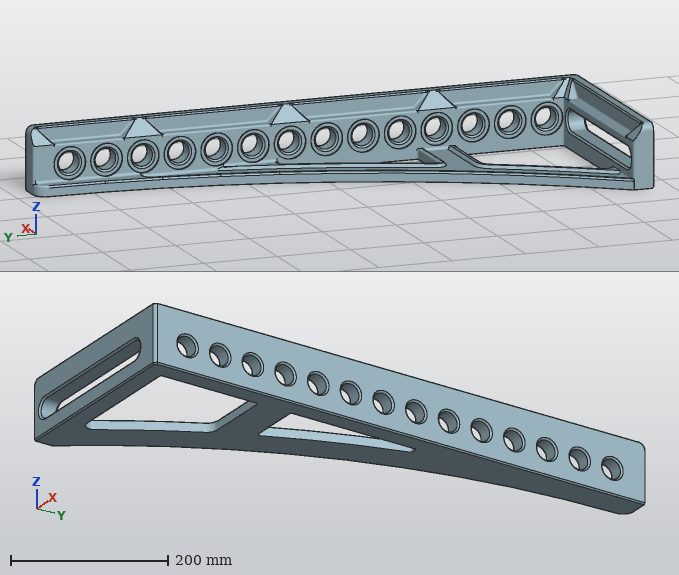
import cadquery as cq
import math

LENGTH_X = 276.0
LENGTH_Y = 750.0
HEIGHT = 85.0

WALL = 27.0
LIP = 13.0
LIP_CHAMFER = 2.0
LEDGE_Z = 63.5
LEDGE_EDGE_RADIUS = 2.5
POCKET_RADIUS = 3.0
TOP_END_RADIUS = 10.0
LONG_END_RADIUS = 3.0
SHORT_END_RADIUS = 4.5
INNER_CORNER_RADIUS = 3.0
OUTER_CORNER_CHAMFER = 4.0
BOTTOM_CHAMFER = 2.0

INNER_X = LENGTH_X - WALL
INNER_Y = WALL

RIB_PITCH = 200.0
RIB_COUNT = 3
RIB_HALF_FLOOR = 26.0
LONG_POCKET_END = 721.5
SHORT_POCKET_END = 29.5
CORNER_POCKET_START = 41.0

HOLE_DIAMETER = 28.0
HOLE_PITCH = 50.0
HOLE_COUNT = 14
HOLE_Z = 37.3
HOLE_CHAMFER = 2.5
SPOTFACE_DIAMETER = 43.0
SPOTFACE_DEPTH = 2.0
SLOT_START_X = 25.5
SLOT_END_X = 227.0
SLOT_CHAMFER = 2.5

WEB_TOP = 14.0
WEB_FLOOR = 10.0
WEB_EDGE_RADIUS = 2.5
RIM = 6.0
RECESS_TOP_Y = 604.0
RECESS_TOP_RADIUS = 12.0
ARC_RADIUS = 1200.0
ARC_CENTER_Y = 738.0
ARC_CENTER_X = -math.sqrt(ARC_RADIUS**2 - (ARC_CENTER_Y - INNER_Y) ** 2)
BRACE_WIDTH = 46.5
INNER_ARC_RADIUS = ARC_RADIUS + BRACE_WIDTH
RECESS_INNER_RADIUS = INNER_ARC_RADIUS - RIM
WEB_END_RADIUS = 16.0
CROSSBAR_Y = 201.0
CROSSBAR_WIDTH = 50.0
BAR_LOW = CROSSBAR_Y - CROSSBAR_WIDTH / 2
BAR_HIGH = CROSSBAR_Y + CROSSBAR_WIDTH / 2
THROAT_Y = 418.0
ACUTE_WINDOW_RADIUS = 12.0
LOWER_BAR_RADIUS = 16.0
UPPER_BAR_RADIUS = 4.0
WINDOW_WALL_RADIUS = 3.0
COVE_RADIUS = 4.0

OVERLAP = 6.0


def arc_x(radius, y):
    """X at a given Y on an arc concentric with the outer edge of the brace."""
    return ARC_CENTER_X + math.sqrt(radius**2 - (y - ARC_CENTER_Y) ** 2)


def arc_y(radius, x):
    """Y at a given X on the same arc."""
    return ARC_CENTER_Y - math.sqrt(radius**2 - (x - ARC_CENTER_X) ** 2)


def near(x, y):
    """Selector for the upright edge closest to a point in plan."""
    return cq.selectors.NearestToPointSelector((x, y, WEB_TOP / 2))


def arc_point(radius, y):
    return (arc_x(radius, y), y)


def brace_arc(sketch, radius, y_from, y_to):
    """Continue an outline along an arc concentric with the outer edge of the brace."""
    middle = arc_point(radius, (y_from + y_to) / 2)
    return sketch.threePointArc(middle, arc_point(radius, y_to))



def wall_blank(length, end_radius):
    """Plain wall with a rounded far end and its upper inner side leaning back to the lip."""
    blank = cq.Workplane("XY").box(WALL, length, HEIGHT, centered=False)
    blank = blank.edges(">X and >Y").fillet(end_radius)
    blank = blank.edges(">Y and >Z").fillet(TOP_END_RADIUS)
    lean = [(WALL, LEDGE_Z), (WALL, HEIGHT), (LIP, HEIGHT)]
    return blank.cut(cq.Workplane("XZ").polyline(lean).close().extrude(-length))


def wall_pocket(start, end):
    """Pocket above the ledge, with 45 degree ends, a filleted root and a bevelled lip edge."""
    rise = HEIGHT - LEDGE_Z
    side = [(start, LEDGE_Z), (end, LEDGE_Z), (end + rise, HEIGHT), (start - rise, HEIGHT)]
    pocket = cq.Workplane("YZ").polyline(side).close().extrude(2 * WALL).translate((LIP, 0, 0))
    pocket = pocket.faces("<Z or <X").edges("not >Z").edges("not >X").fillet(POCKET_RADIUS)
    bevel_side = [(LIP - LIP_CHAMFER, HEIGHT), (LIP, HEIGHT), (LIP, HEIGHT - LIP_CHAMFER)]
    bevel = cq.Workplane("XZ").polyline(bevel_side).close().extrude(start - rise - end - rise)
    return pocket.union(bevel.translate((0, start - rise, 0)))


def ledge_rounding(start, end):
    """Cutter that rounds the outer edge of the ledge along a pocket."""
    radius = LEDGE_EDGE_RADIUS
    block = cq.Workplane("XZ").rect(radius, radius, centered=False).extrude(start - end)
    block = block.cut(cq.Workplane("XZ").circle(radius).extrude(start - end))
    return block.translate((WALL - radius, start, LEDGE_Z - radius))


def make_wall(length, end_radius, pockets):
    """Wall with pockets, each given by the start and end of its floor."""
    wall = wall_blank(length, end_radius)
    for start, end in pockets:
        wall = wall.cut(wall_pocket(start, end))
        wall = wall.cut(ledge_rounding(start, end))
    return wall


def long_wall_pockets():
    ribs = [RIB_PITCH * (i + 1) for i in range(RIB_COUNT)]
    starts = [CORNER_POCKET_START] + [rib + RIB_HALF_FLOOR for rib in ribs]
    ends = [rib - RIB_HALF_FLOOR for rib in ribs] + [LONG_POCKET_END]
    return list(zip(starts, ends))


def make_walls():
    long_wall = make_wall(LENGTH_Y, LONG_END_RADIUS, long_wall_pockets())
    long_wall = long_wall.mirror("YZ").translate((LENGTH_X, 0, 0))
    short_pocket = (CORNER_POCKET_START, LENGTH_X - SHORT_POCKET_END)
    short_wall = make_wall(LENGTH_X, SHORT_END_RADIUS, [short_pocket])
    short_wall = short_wall.rotate((0, 0, 0), (0, 0, 1), 90).translate((LENGTH_X, 0, 0))
    walls = long_wall.union(short_wall)
    return walls.union(inner_corner_fillet())


def inner_corner_fillet():
    """Concave fillet where the inner faces of the two walls meet."""
    radius = INNER_CORNER_RADIUS
    block = cq.Workplane("XY").rect(radius, -radius, centered=False).extrude(LEDGE_Z)
    block = block.cut(cq.Workplane("XY").circle(radius).extrude(LEDGE_Z))
    return block.translate((INNER_X - radius, INNER_Y + radius, 0))



def web_outline():
    """Outline of the web: brace arc outside, reaching into both walls."""
    sketch = cq.Workplane("XY").moveTo(LENGTH_X - OVERLAP, INNER_Y - OVERLAP)
    sketch = sketch.lineTo(LENGTH_X - OVERLAP, LENGTH_Y).lineTo(*arc_point(ARC_RADIUS, LENGTH_Y))
    sketch = brace_arc(sketch, ARC_RADIUS, LENGTH_Y, INNER_Y)
    return sketch.lineTo(SHORT_END_RADIUS, INNER_Y - OVERLAP).close()


def lower_window():
    """Window between the short wall and the crossbar."""
    radius = INNER_ARC_RADIUS
    top = BAR_LOW
    sketch = cq.Workplane("XY").moveTo(*arc_point(radius, top)).lineTo(INNER_X, top)
    sketch = sketch.lineTo(INNER_X, INNER_Y).lineTo(*arc_point(radius, INNER_Y))
    window = brace_arc(sketch, radius, INNER_Y, top).close().extrude(WEB_TOP)
    window = window.edges("|Z and >X").fillet(WINDOW_WALL_RADIUS)
    window = window.edges("|Z").edges(near(*arc_point(radius, INNER_Y))).fillet(ACUTE_WINDOW_RADIUS)
    return window.edges("|Z").edges(near(*arc_point(radius, top))).fillet(LOWER_BAR_RADIUS)


def upper_window():
    """Narrow window above the crossbar, between the brace and the long wall."""
    radius = INNER_ARC_RADIUS
    bottom = BAR_HIGH
    sketch = cq.Workplane("XY").moveTo(*arc_point(radius, THROAT_Y)).lineTo(INNER_X, THROAT_Y)
    sketch = sketch.lineTo(INNER_X, bottom).lineTo(*arc_point(radius, bottom))
    window = brace_arc(sketch, radius, bottom, THROAT_Y).close().extrude(WEB_TOP)
    window = window.edges("|Z and >Y").fillet(WINDOW_WALL_RADIUS)
    window = window.edges("|Z").edges(near(INNER_X, bottom)).fillet(WINDOW_WALL_RADIUS)
    return window.edges("|Z").edges(near(*arc_point(radius, bottom))).fillet(UPPER_BAR_RADIUS)


def web_recess():
    """Recess inside the rims: down the brace and across the crossbar, with 45 degree sides."""
    outer = ARC_RADIUS + RIM
    inner = RECESS_INNER_RADIUS
    right = INNER_X + OVERLAP
    bottom = INNER_Y - OVERLAP
    bar_low = BAR_LOW + RIM
    bar_high = BAR_HIGH - RIM
    sketch = cq.Workplane("XY").moveTo(*arc_point(outer, bottom))
    sketch = brace_arc(sketch, outer, bottom, RECESS_TOP_Y)
    sketch = sketch.lineTo(right, RECESS_TOP_Y).lineTo(right, arc_y(inner, right))
    sketch = brace_arc(sketch, inner, arc_y(inner, right), bar_high)
    sketch = sketch.lineTo(right, bar_high).lineTo(right, bar_low).lineTo(*arc_point(inner, bar_low))
    sketch = brace_arc(sketch, inner, bar_low, bottom).close()
    depth = WEB_TOP - WEB_FLOOR
    recess = sketch.extrude(WEB_TOP).translate((0, 0, WEB_FLOOR))
    corners = [
        (arc_point(outer, RECESS_TOP_Y), RECESS_TOP_RADIUS),
        (arc_point(inner, bar_high), UPPER_BAR_RADIUS + RIM),
        (arc_point(inner, bar_low), LOWER_BAR_RADIUS + RIM),
    ]
    for corner, radius in corners:
        recess = recess.edges("|Z").edges(near(*corner)).fillet(radius)
    return recess.faces("<Z").chamfer(depth)


def wall_cove(start, end, z):
    """Concave cove along +Y against the plane X = 0, its foot reaching toward -X at height z."""
    corner = cq.Workplane("XZ").rect(-COVE_RADIUS, COVE_RADIUS, centered=False)
    block = corner.extrude(start - end)
    hollow = cq.Workplane("XZ").center(-COVE_RADIUS, COVE_RADIUS).circle(COVE_RADIUS).extrude(start - end)
    return block.cut(hollow).translate((0, start, z))


def make_coves():
    """Coves where the web meets the walls, at recess floor level and at rim level."""
    throat_end = arc_y(RECESS_INNER_RADIUS, INNER_X)
    along_long_wall = [
        wall_cove(BAR_LOW + RIM, BAR_HIGH - RIM, WEB_FLOOR),
        wall_cove(THROAT_Y, throat_end, WEB_TOP),
        wall_cove(throat_end, RECESS_TOP_Y, WEB_FLOOR),
        wall_cove(RECESS_TOP_Y, LENGTH_Y - LONG_END_RADIUS, WEB_TOP),
    ]
    short_start = LENGTH_X - arc_x(RECESS_INNER_RADIUS, INNER_Y)
    short_end = LENGTH_X - arc_x(ARC_RADIUS + RIM, INNER_Y)
    coves = wall_cove(short_start, short_end, WEB_FLOOR).mirror("YZ")
    coves = coves.translate((INNER_Y, 0, 0)).rotate((0, 0, 0), (0, 0, 1), 90).translate((LENGTH_X, 0, 0))
    for cove in along_long_wall:
        coves = coves.union(cove.translate((INNER_X, 0, 0)))
    return coves


def make_web():
    """Web plate with windows, rounded rims and the recess between the rims."""
    web = web_outline().extrude(WEB_TOP)
    web = web.edges("|Z").edges(near(*arc_point(ARC_RADIUS, LENGTH_Y))).fillet(WEB_END_RADIUS)
    for window in (lower_window(), upper_window()):
        web = web.cut(window)
    web = web.faces(">Z").edges().fillet(WEB_EDGE_RADIUS)
    return web.cut(web_recess())



def make_holes():
    """Row of holes through the long wall, each with an inner spotface and chamfered rims."""
    centers = [(HOLE_PITCH * (i + 1), HOLE_Z) for i in range(HOLE_COUNT)]
    spot_x = INNER_X + SPOTFACE_DEPTH
    radius = HOLE_DIAMETER / 2
    spotfaces = cq.Workplane("YZ").workplane(offset=spot_x).pushPoints(centers)
    holes = spotfaces.circle(SPOTFACE_DIAMETER / 2).extrude(-SPOTFACE_DEPTH - COVE_RADIUS)
    wide = radius + HOLE_CHAMFER
    depth = LENGTH_X - spot_x
    bore = [
        (0, 0),
        (0, wide),
        (HOLE_CHAMFER, radius),
        (depth - HOLE_CHAMFER, radius),
        (depth, wide),
        (depth, 0),
    ]
    bore_tool = cq.Workplane("XY").polyline(bore).close().revolve(360, (0, 0, 0), (1, 0, 0))
    for y, z in centers:
        holes = holes.union(bore_tool.translate((spot_x, y, z)))
    return holes


def make_slot():
    """Slot through the short wall, chamfered on both faces."""
    length = SLOT_END_X - SLOT_START_X + HOLE_DIAMETER
    center = ((SLOT_START_X + SLOT_END_X) / 2, HOLE_Z)
    slot = cq.Workplane("XZ").center(*center).slot2D(length, HOLE_DIAMETER).extrude(-WALL)
    for face_y, direction in ((0, -1), (WALL, 1)):
        flare = cq.Workplane("XZ").workplane(offset=-face_y).center(*center)
        flare = flare.slot2D(length + 2 * SLOT_CHAMFER, HOLE_DIAMETER + 2 * SLOT_CHAMFER)
        slot = slot.union(flare.extrude(direction * SLOT_CHAMFER, taper=45))
    return slot


def make_bracket():
    walls = make_walls()
    walls = walls.edges("|Z and >X and <Y").chamfer(OUTER_CORNER_CHAMFER)
    walls = walls.faces("<Z").edges("<Y or >X or >(1, -1, 0)").chamfer(BOTTOM_CHAMFER)
    bracket = walls.union(make_coves()).union(make_web())
    return bracket.cut(make_holes()).cut(make_slot())


result = make_bracket()